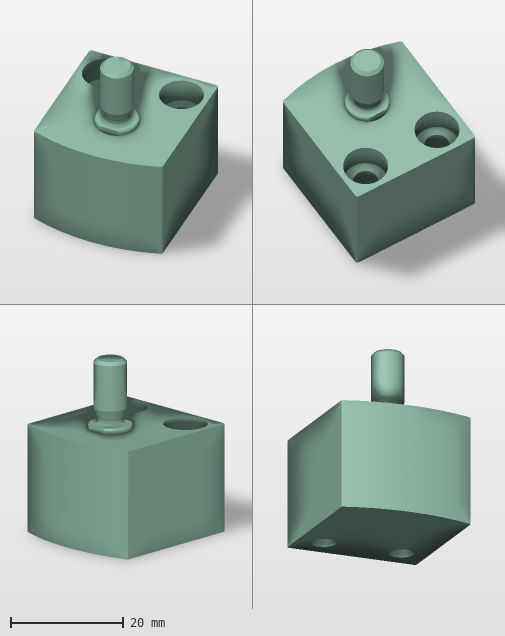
import cadquery as cq
import math

block_width = 25.0
block_height = 20.0
block_depth = 27.0
side_depth = 24.9
corner_radius = 0.4
half_width = block_width / 2

screw_hole_diameter = 4.5
counterbore_diameter = 8.0
counterbore_depth = 4.6
screw_inset = 5.0

total_height = 33.0
stud_height = total_height - block_height
stud_setback = 16.5
shank_radius = 3.0
shank_start = 4.0
tip_chamfer = 0.6
neck_radius = 2.25
neck_top = 1.95
neck_fillet = 0.6
flare_blend_radius = 0.3
flange_radius = 4.0
flange_height = 1.0
flange_chamfer_height = 0.25
flange_chamfer_width = 0.15
flats_width = 7.0
socket_depth = 2.0

back_y = half_width
front_corner_y = back_y - side_depth
crown_y = back_y - block_depth
stud_y = back_y - stud_setback


def make_block():
    outline = (
        cq.Workplane("XY")
        .moveTo(-half_width, front_corner_y)
        .threePointArc((0, crown_y), (half_width, front_corner_y))
        .lineTo(half_width, back_y)
        .lineTo(-half_width, back_y)
        .close()
    )
    body = outline.extrude(block_height).edges("|Z").fillet(corner_radius)

    screw_x = half_width - screw_inset
    screw_y = back_y - screw_inset
    body = (
        body.faces(">Z").workplane(origin=(0, 0, block_height))
        .pushPoints([(-screw_x, screw_y), (screw_x, screw_y)])
        .cboreHole(screw_hole_diameter, counterbore_diameter, counterbore_depth)
    )

    socket = (
        cq.Workplane("XY", origin=(0, stud_y, block_height - socket_depth))
        .circle(flange_radius)
        .extrude(socket_depth)
    )
    return body.cut(socket)


def flare_blend():
    """Start, middle and end of the arc that blends the neck into the conical flare."""
    angle = math.atan2(shank_radius - neck_radius, shank_start - neck_top)
    tangent_length = flare_blend_radius * math.tan(angle / 2)
    start = (neck_radius, neck_top - tangent_length)

    def arc_point(turn):
        return (
            start[0] + flare_blend_radius * (1 - math.cos(turn)),
            start[1] + flare_blend_radius * math.sin(turn),
        )

    return start, arc_point(angle / 2), arc_point(angle)


def make_stud():
    fillet_offset = neck_fillet * (1 - math.sqrt(0.5))
    blend_start, blend_middle, blend_end = flare_blend()
    profile = (
        cq.Workplane("XZ")
        .moveTo(0, -socket_depth)
        .lineTo(flange_radius, -socket_depth)
        .lineTo(flange_radius, flange_height - flange_chamfer_height)
        .lineTo(flange_radius - flange_chamfer_width, flange_height)
        .lineTo(neck_radius + neck_fillet, flange_height)
        .threePointArc(
            (neck_radius + fillet_offset, flange_height + fillet_offset),
            (neck_radius, flange_height + neck_fillet),
        )
        .lineTo(*blend_start)
        .threePointArc(blend_middle, blend_end)
        .lineTo(shank_radius, shank_start)
        .lineTo(shank_radius, stud_height - tip_chamfer)
        .lineTo(shank_radius - tip_chamfer, stud_height)
        .lineTo(0, stud_height)
        .close()
    )
    turned = profile.revolve(360, (0, 0, 0), (0, 1, 0))

    between_flats = (
        cq.Workplane("XY", origin=(0, 0, -socket_depth))
        .rect(2 * flange_radius, flats_width)
        .extrude(socket_depth + stud_height)
    )
    return turned.intersect(between_flats).translate((0, stud_y, block_height))


block = make_block()
stud = make_stud()
result = cq.Compound.makeCompound([block.val(), stud.val()])